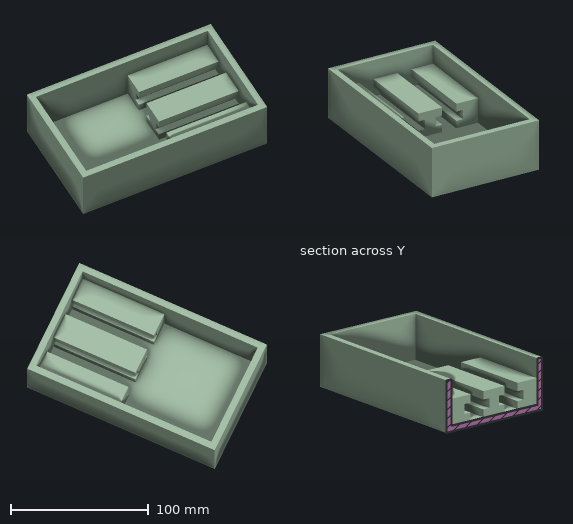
import cadquery as cq

length = 150.0
width = 0.6 * length
height = 40.0
wall = 5.0
inner_width = width - 2 * wall
inner_length = length - 2 * wall

rail_length = 65.0
rail_height = 20.0
rear_gap = 0.5
channel_mouth = 12.0
center_rail_width = 20.0
undercut_depth = 5.5
undercut_height = 7.5
undercut_bottom = 6.0
channel_offset = (center_rail_width + channel_mouth) / 2
rail_center_y = inner_length / 2 - rear_gap - rail_length / 2


def floor_block(size_x, size_y, size_z, x, y, z):
    """Box centered at x, y with its underside at height z."""
    return cq.Workplane("XY").box(size_x, size_y, size_z, centered=(True, True, False)).translate((x, y, z))


def make_tray():
    outer = floor_block(width, length, height, 0, 0, 0)
    return outer.cut(floor_block(inner_width, inner_length, height, 0, 0, wall))


def make_rails():
    rails = floor_block(inner_width, rail_length, rail_height, 0, rail_center_y, wall)
    undercut_width = channel_mouth + 2 * undercut_depth
    for side in (-1, 1):
        x = side * channel_offset
        mouth = floor_block(channel_mouth, rail_length, rail_height, x, rail_center_y, wall)
        undercut = floor_block(
            undercut_width, rail_length, undercut_height, x, rail_center_y, wall + undercut_bottom
        )
        rails = rails.cut(mouth).cut(undercut)
    return rails


result = make_tray().union(make_rails())